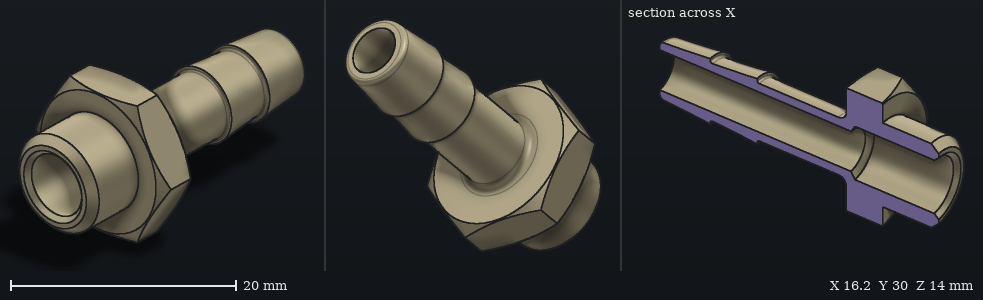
import cadquery as cq
import math

total_length = 30.0
thread_radius = 4.8
thread_length = 6.0
thread_chamfer = 0.8

hex_flats = 14.0
hex_thickness = 4.0
hex_face_radius = 6.9
hex_chamfer_angle = 30.0

tail_radius = 3.3
tail_fillet = 0.8
tail_end_round = 0.48
barb_radius = 3.75
barb_edges = (10.5, 5.45)
barb_fillets = (0.18, 0.25)

bore_radius = 2.25
socket_radius = 3.0
socket_depth = 9.0
socket_chamfer = 0.48
drill_tip_angle = 120.0

thread_end = -total_length / 2
tail_end = total_length / 2
hex_front = thread_end + thread_length
hex_back = hex_front + hex_thickness


def revolve_profile(profile):
    """Close a half profile, given as (radius, y), and turn it about the Y axis."""
    return profile.close().revolve(360, (0, 0, 0), (0, 1, 0))


def make_thread():
    thread = cq.Workplane("XY").moveTo(0, thread_end)
    thread = thread.lineTo(thread_radius - thread_chamfer, thread_end)
    thread = thread.lineTo(thread_radius, thread_end + thread_chamfer)
    thread = thread.lineTo(thread_radius, hex_front)
    thread = thread.lineTo(0, hex_front)
    return revolve_profile(thread)


def make_hex():
    """Hexagon with flats facing Z, both faces trimmed by a cone at the corners."""
    corner_radius = hex_flats / math.sqrt(3)
    blank = cq.Workplane("XZ", origin=(0, hex_front, 0))
    blank = blank.polygon(6, 2 * corner_radius).extrude(-hex_thickness)

    slope = math.tan(math.radians(hex_chamfer_angle))
    drop = (corner_radius - hex_face_radius) * slope
    envelope = cq.Workplane("XY").moveTo(0, hex_front)
    envelope = envelope.lineTo(hex_face_radius, hex_front)
    envelope = envelope.lineTo(corner_radius, hex_front + drop)
    envelope = envelope.lineTo(corner_radius, hex_back - drop)
    envelope = envelope.lineTo(hex_face_radius, hex_back)
    envelope = envelope.lineTo(0, hex_back)
    return blank.intersect(revolve_profile(envelope))


def make_tail():
    tail = cq.Workplane("XY").moveTo(0, hex_back)
    tail = tail.lineTo(tail_radius + tail_fillet, hex_back)
    tail = tail.radiusArc((tail_radius, hex_back + tail_fillet), tail_fillet)
    barb_tips = (tail_end - barb_edges[1] - barb_fillets[1], tail_end - tail_end_round)
    tail = tail.lineTo(tail_radius, tail_end - barb_edges[0] - barb_fillets[0])
    for edge, fillet, tip_y in zip(barb_edges, barb_fillets, barb_tips):
        edge_y = tail_end - edge
        tail = tail.radiusArc((tail_radius + fillet, edge_y), fillet)
        tail = tail.lineTo(barb_radius, edge_y)
        tail = tail.lineTo(tail_radius, tip_y)
    tail = tail.radiusArc((tail_radius - tail_end_round, tail_end), -tail_end_round)
    tail = tail.lineTo(0, tail_end)
    return revolve_profile(tail)


def make_passage():
    """Through bore with a chamfered, drill-pointed socket from the threaded end."""
    socket_bottom = thread_end + socket_depth
    tip_length = (socket_radius - bore_radius) / math.tan(math.radians(drill_tip_angle / 2))
    passage = cq.Workplane("XY").moveTo(0, thread_end)
    passage = passage.lineTo(socket_radius + socket_chamfer, thread_end)
    passage = passage.lineTo(socket_radius, thread_end + socket_chamfer)
    passage = passage.lineTo(socket_radius, socket_bottom)
    passage = passage.lineTo(bore_radius, socket_bottom + tip_length)
    passage = passage.lineTo(bore_radius, tail_end)
    passage = passage.lineTo(0, tail_end)
    return revolve_profile(passage)


result = make_thread().union(make_hex()).union(make_tail()).cut(make_passage())